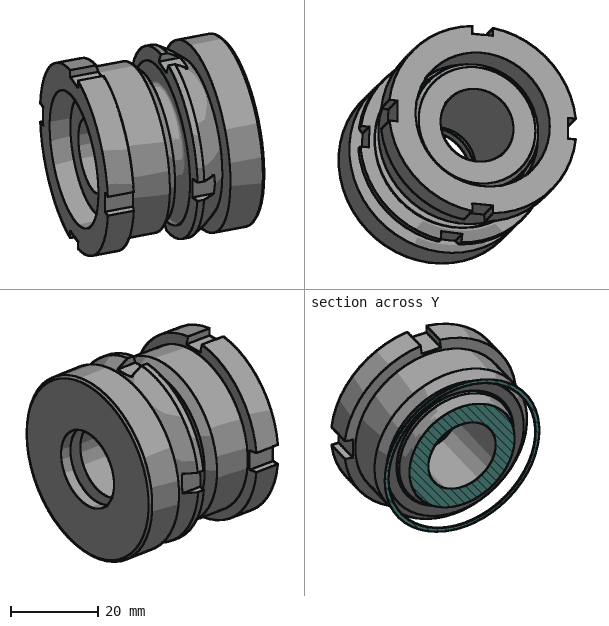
import cadquery as cq
import math


outer_radius = 22.5
thread_radius = 15.0
bevel_slope = math.tan(math.radians(15))

notch_width = 5.0
notch_floor_radius = 20.5
notch_count = 4
notch_clearance = 1.0

nut_height = 18.0
nut_body_radius = 20.0
nut_flange_height = 7.0
nut_top_chamfer = 2.0
counterbore_radius = 16.1
counterbore_depth = 9.0
thread_entry_chamfer = 0.35

spindle_front = 4.3
spindle_bore_radius = 8.75
neck_radius = 13.85
shank_front_radius = 14.0
shank_front_chamfer_length = 1.0
shank_end = 18.65
neck_fillet = 0.8
collar_front = 21.2
collar_bevel_width = 2.5
collar_rim_end = 23.5
collar_recess_radius = 19.2
collar_recess_depth = 1.0
spindle_turn = 1.75
spindle_top = 33.0

sphere_center_y = 12.0
sphere_radius = math.hypot(outer_radius, collar_rim_end - sphere_center_y)

washer_front = 29.2
washer_back = 38.2
washer_bevel_width = 1.7
washer_top_chamfer = 0.6
washer_bore_radius = 9.5
washer_tilt_x = -0.35
washer_tilt_z = 0.7


def revolve_about_y(profile):
    return profile.close().revolve(360, (0, 0, 0), (0, 1, 0))


def sphere_radius_at(y):
    """Radius of the seat sphere's cross-section at height y."""
    return math.sqrt(sphere_radius**2 - (y - sphere_center_y)**2)


def cut_notches(body, start, end, turn):
    """Cut evenly spaced notches, open to the outside, between two Y positions."""
    depth = outer_radius + notch_clearance - notch_floor_radius
    for i in range(notch_count):
        cutter = (
            cq.Workplane("XY")
            .box(depth, end - start, notch_width, centered=(False, False, True))
            .translate((notch_floor_radius, start, 0))
            .rotate((0, 0, 0), (0, 1, 0), i * 360 / notch_count + turn)
        )
        body = body.cut(cutter)
    return body


def make_nut():
    flange_bevel = (outer_radius - nut_body_radius) * bevel_slope
    entry_radius = thread_radius + thread_entry_chamfer
    body = revolve_about_y(
        cq.Workplane("XY")
        .moveTo(counterbore_radius, 0)
        .lineTo(outer_radius, 0)
        .lineTo(outer_radius, nut_flange_height - flange_bevel)
        .lineTo(nut_body_radius, nut_flange_height)
        .lineTo(nut_body_radius, nut_height - nut_top_chamfer)
        .lineTo(nut_body_radius - nut_top_chamfer, nut_height)
        .lineTo(entry_radius, nut_height)
        .lineTo(thread_radius, nut_height - thread_entry_chamfer)
        .lineTo(thread_radius, counterbore_depth + thread_entry_chamfer)
        .lineTo(entry_radius, counterbore_depth)
        .lineTo(counterbore_radius, counterbore_depth)
    )
    return cut_notches(body, 0, nut_flange_height, 0)


def make_spindle():
    collar_bevel = collar_bevel_width * bevel_slope
    recess_floor = collar_front + collar_recess_depth
    fillet_foot_radius = neck_radius + neck_fillet * (1 - math.cos(math.radians(45)))
    fillet_foot_y = shank_end + thread_radius - fillet_foot_radius
    neck_start = fillet_foot_y + neck_fillet * math.sin(math.radians(45))
    dome_middle = (collar_rim_end + spindle_top) / 2
    body = revolve_about_y(
        cq.Workplane("XY")
        .moveTo(spindle_bore_radius, spindle_front)
        .lineTo(shank_front_radius, spindle_front)
        .lineTo(thread_radius, spindle_front + shank_front_chamfer_length)
        .lineTo(thread_radius, shank_end)
        .lineTo(fillet_foot_radius, fillet_foot_y)
        .tangentArcPoint((neck_radius, neck_start), relative=False)
        .lineTo(neck_radius, recess_floor - neck_fillet)
        .tangentArcPoint((neck_radius + neck_fillet, recess_floor), relative=False)
        .lineTo(collar_recess_radius - neck_fillet, recess_floor)
        .tangentArcPoint((collar_recess_radius, recess_floor - neck_fillet), relative=False)
        .lineTo(collar_recess_radius, collar_front)
        .lineTo(outer_radius - collar_bevel_width, collar_front)
        .lineTo(outer_radius, collar_front + collar_bevel)
        .lineTo(outer_radius, collar_rim_end)
        .threePointArc(
            (sphere_radius_at(dome_middle), dome_middle),
            (sphere_radius_at(spindle_top), spindle_top),
        )
        .lineTo(spindle_bore_radius, spindle_top)
    )
    return cut_notches(body, collar_front, spindle_top, spindle_turn)


def make_washer():
    """Washer with a spherical seat, tilted about the center of the seat sphere."""
    disc = revolve_about_y(
        cq.Workplane("XY")
        .moveTo(washer_bore_radius, washer_front)
        .lineTo(outer_radius - washer_bevel_width, washer_front)
        .lineTo(outer_radius, washer_front + washer_bevel_width * bevel_slope)
        .lineTo(outer_radius, washer_back - washer_top_chamfer)
        .lineTo(outer_radius - washer_top_chamfer, washer_back)
        .lineTo(washer_bore_radius, washer_back)
    )
    center = (0, sphere_center_y, 0)
    seat = cq.Workplane("XY").sphere(sphere_radius).translate(center)
    return (
        disc.cut(seat)
        .rotate(center, (1, sphere_center_y, 0), washer_tilt_x)
        .rotate(center, (0, sphere_center_y, 1), washer_tilt_z)
    )


nut = make_nut()
spindle = make_spindle()
washer = make_washer()

result = cq.Compound.makeCompound([nut.val(), spindle.val(), washer.val()])